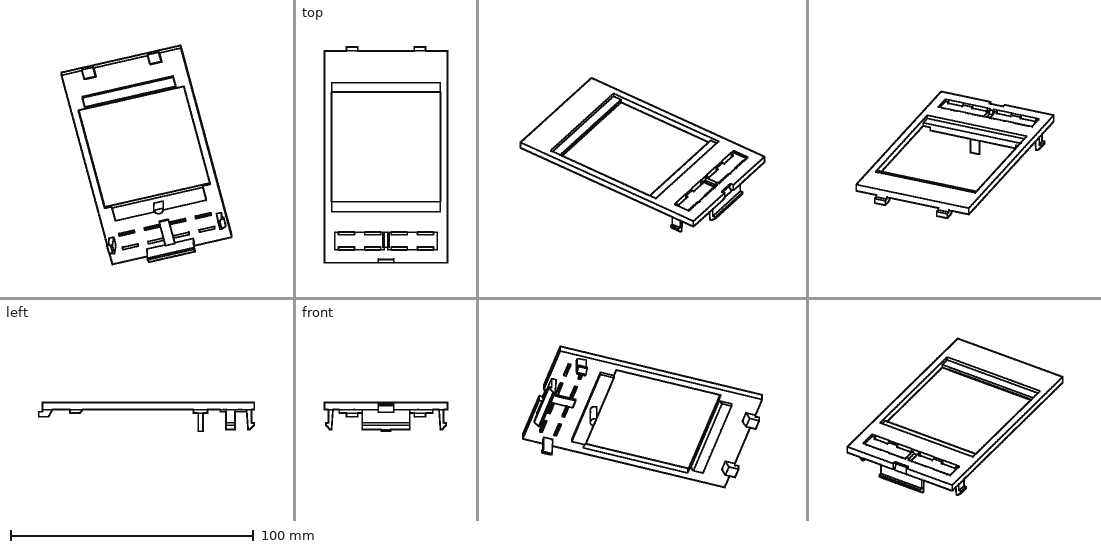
import cadquery as cq

PLATE_WIDTH = 50.7
PLATE_LENGTH = 87.4
PLATE_THICKNESS = 3.0
FRONT = -PLATE_LENGTH / 2
REAR = PLATE_LENGTH / 2
UNDERSIDE = -PLATE_THICKNESS

WINDOW_WIDTH = 44.8
WINDOW_FRONT = FRONT + 21.1
WINDOW_REAR = REAR - 13.2

LEDGE_TOP = -1.5
RAIL_WIDTH = 38.6
RAIL_BOTTOM = UNDERSIDE - 1.45
FRONT_RAIL_START = FRONT + 19.3
FRONT_RAIL_END = FRONT + 25.2
REAR_LEDGE_START = REAR - 17.0
REAR_RAIL_START = REAR - 16.65
REAR_RAIL_END = REAR - 11.35
REAR_RAIL_CHAMFER_RUN = 1.15

POST_RADIUS = 2.0
POST_FLAT_Y = FRONT + 23.2
POST_BOTTOM = -12.0

POCKET_WIDTH = 42.1
POCKET_FRONT = FRONT + 5.5
POCKET_REAR = FRONT + 12.6
POCKET_DEPTH = 1.0

SLOT_LENGTH = 6.5
SLOT_WIDTH = 1.05
SLOT_OVERCUT = 0.1
SLOT_PITCH = 10.85
SLOT_COUNT = 4

GROOVE_TOP_WIDTH = 2.7
GROOVE_FLOOR_WIDTH = 1.5
GROOVE_DEPTH = 1.0
TAB_LENGTH = 0.95

PAD_WIDTH = 4.0
PAD_FRONT = FRONT + 3.3
PAD_REAR = FRONT + 14.2
PAD_HEIGHT = 0.9

CLIP_ROOT_THICKNESS = 2.1
CLIP_TIP_INSET = 0.6
CLIP_LIP = 1.2
CLIP_LIP_TOP = -8.5
CLIP_LIP_EDGE = -9.35
CLIP_BOTTOM = -11.2
CLIP_TIP_THICKNESS = 0.75
FRONT_CLIP_WIDTH = 19.7
FRONT_CLIP_FACE = FRONT + 1.2
SIDE_CLIP_WIDTH = 3.8
SIDE_CLIP_FACE = 23.9
SIDE_CLIP_LIP = 0.95
SIDE_CLIP_TAPER = 0.3
SIDE_CLIP_Y = FRONT + 9.9

NOTCH_WIDTH = 6.3
NOTCH_DEPTH = 1.5
NOTCH_ROOF = -0.8
NOTCH_INNER_DEPTH = 2.25
NOTCH_INNER_Z = -1.4
NOTCH_BOTTOM = -4.1

HOOK_WIDTH = 4.8
HOOK_X = 13.95
HOOK_REACH = 1.6
HOOK_TOP = -3.85
HOOK_BOTTOM = -5.95
HOOK_ROOT_LENGTH = 4.15
HOOK_BOTTOM_LENGTH = 2.6


def block(width, y_start, y_end, z_bottom, z_top, x_center=0):
    """Box centred on x_center that spans the given Y and Z ranges."""
    return (
        cq.Workplane("XY")
        .box(width, y_end - y_start, z_top - z_bottom, centered=(True, False, False))
        .translate((x_center, y_start, z_bottom))
    )


def profile_yz(points, width, x_center=0):
    """Prism with a (Y, Z) outline, centred on x_center along X."""
    prism = cq.Workplane("YZ").polyline(points).close().extrude(width / 2, both=True)
    return prism.translate((x_center, 0, 0))


def clip(width, lip):
    """Snap clip with its outer face on Y = 0 and its lip pointing to -Y."""
    inner_tip = CLIP_ROOT_THICKNESS - CLIP_TIP_INSET
    outline = [
        (0, UNDERSIDE),
        (0, CLIP_LIP_TOP),
        (-lip, CLIP_LIP_TOP),
        (-lip, CLIP_LIP_EDGE),
        (inner_tip - CLIP_TIP_THICKNESS, CLIP_BOTTOM),
        (inner_tip, CLIP_BOTTOM),
        (CLIP_ROOT_THICKNESS, UNDERSIDE),
    ]
    return profile_yz(outline, width)


def plate():
    body = block(PLATE_WIDTH, FRONT, REAR, UNDERSIDE, 0)
    return body.cut(block(WINDOW_WIDTH, WINDOW_FRONT, WINDOW_REAR, UNDERSIDE, 0))


def front_rail():
    rail = block(RAIL_WIDTH, FRONT_RAIL_START, FRONT_RAIL_END, RAIL_BOTTOM, UNDERSIDE)
    ledge = block(WINDOW_WIDTH, WINDOW_FRONT, FRONT_RAIL_END, UNDERSIDE, LEDGE_TOP)
    return rail.union(ledge)


def rear_rail():
    outline = [
        (REAR_RAIL_END, UNDERSIDE),
        (REAR_RAIL_END, RAIL_BOTTOM),
        (REAR_RAIL_START + REAR_RAIL_CHAMFER_RUN, RAIL_BOTTOM),
        (REAR_RAIL_START, UNDERSIDE),
    ]
    ledge = block(WINDOW_WIDTH, REAR_LEDGE_START, WINDOW_REAR, UNDERSIDE, LEDGE_TOP)
    return profile_yz(outline, RAIL_WIDTH).union(ledge)


def post():
    return (
        cq.Workplane("XY", origin=(0, POST_FLAT_Y, POST_BOTTOM))
        .moveTo(-POST_RADIUS, 0)
        .threePointArc((0, -POST_RADIUS), (POST_RADIUS, 0))
        .close()
        .extrude(RAIL_BOTTOM - POST_BOTTOM)
    )


def front_clip():
    return clip(FRONT_CLIP_WIDTH, CLIP_LIP).translate((0, FRONT_CLIP_FACE, 0))


def side_clip(side):
    """Clip facing outward at +X or -X; its outer face tapers inward to the front."""
    turned = clip(SIDE_CLIP_WIDTH, SIDE_CLIP_LIP).rotate((0, 0, 0), (0, 0, 1), 90 * side)
    placed = turned.translate((side * SIDE_CLIP_FACE, SIDE_CLIP_Y, 0))
    front_y = SIDE_CLIP_Y - SIDE_CLIP_WIDTH / 2
    rear_y = SIDE_CLIP_Y + SIDE_CLIP_WIDTH / 2
    wedge_outline = [
        (side * SIDE_CLIP_FACE, rear_y),
        (side * SIDE_CLIP_FACE, front_y),
        (side * (SIDE_CLIP_FACE - SIDE_CLIP_TAPER), front_y),
    ]
    wedge = (
        cq.Workplane("XY", origin=(0, 0, CLIP_LIP_TOP))
        .polyline(wedge_outline)
        .close()
        .extrude(UNDERSIDE - CLIP_LIP_TOP)
    )
    return placed.cut(wedge)


def rear_hook(x_center):
    outline = [
        (REAR, UNDERSIDE),
        (REAR, HOOK_TOP),
        (REAR + HOOK_REACH, HOOK_TOP),
        (REAR + HOOK_REACH, HOOK_BOTTOM),
        (REAR - HOOK_BOTTOM_LENGTH, HOOK_BOTTOM),
        (REAR - HOOK_ROOT_LENGTH, UNDERSIDE),
    ]
    return profile_yz(outline, HOOK_WIDTH, x_center)


def pocket_cutter():
    cutter = block(POCKET_WIDTH, POCKET_FRONT, POCKET_REAR, -POCKET_DEPTH, 0)
    slot_starts = (POCKET_FRONT - SLOT_OVERCUT, POCKET_REAR + SLOT_OVERCUT - SLOT_WIDTH)
    for index in range(SLOT_COUNT):
        x_center = (index - (SLOT_COUNT - 1) / 2) * SLOT_PITCH
        for y_start in slot_starts:
            slot = block(SLOT_LENGTH, y_start, y_start + SLOT_WIDTH, UNDERSIDE, 0, x_center)
            cutter = cutter.union(slot)
    tab = block(GROOVE_FLOOR_WIDTH, POCKET_FRONT, POCKET_FRONT + TAB_LENGTH, UNDERSIDE, 0)
    return cutter.cut(tab)


def groove_cutter():
    outline = [
        (-GROOVE_TOP_WIDTH / 2, -POCKET_DEPTH),
        (-GROOVE_FLOOR_WIDTH / 2, -POCKET_DEPTH - GROOVE_DEPTH),
        (GROOVE_FLOOR_WIDTH / 2, -POCKET_DEPTH - GROOVE_DEPTH),
        (GROOVE_TOP_WIDTH / 2, -POCKET_DEPTH),
    ]
    start = POCKET_FRONT + TAB_LENGTH
    groove = cq.Workplane("XZ").polyline(outline).close().extrude(start - POCKET_REAR)
    return groove.translate((0, start, 0))


def notch_cutter():
    outline = [
        (FRONT, 0),
        (FRONT + NOTCH_DEPTH, 0),
        (FRONT + NOTCH_DEPTH, NOTCH_ROOF),
        (FRONT + NOTCH_INNER_DEPTH, NOTCH_INNER_Z),
        (FRONT_CLIP_FACE, NOTCH_BOTTOM),
        (FRONT, NOTCH_BOTTOM),
    ]
    return profile_yz(outline, NOTCH_WIDTH)


def pad():
    return block(PAD_WIDTH, PAD_FRONT, PAD_REAR, UNDERSIDE - PAD_HEIGHT, UNDERSIDE)


result = plate().union(front_rail()).union(rear_rail()).union(post()).union(pad()).union(front_clip())
for side in (-1, 1):
    result = result.union(side_clip(side)).union(rear_hook(side * HOOK_X))
result = result.cut(pocket_cutter()).cut(groove_cutter()).cut(notch_cutter())